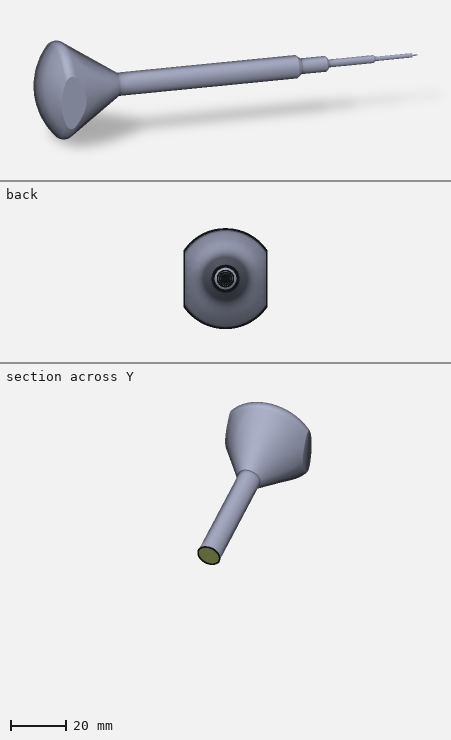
import cadquery as cq
import math


KNOB_RADIUS = 18.0
KNOB_WIDTH = 30.0
DOME_RADIUS = 25.0
RIM_RADIUS = 3.0
NECK_RADIUS = 4.8

NECK_Y = 30.0
HANDLE_END_Y = 100.0
COLLAR_END_Y = 110.0
SHANK_END_Y = 128.0
BIT_END_Y = 142.0
TOTAL_LENGTH = 144.0

HANDLE_DIAMETER = 8.5
HANDLE_TAPER = 1.7
COLLAR_RADIUS = 2.9
COLLAR_CHAMFER = 0.7
SHANK_RADIUS = 1.5
SHANK_CHAMFER = 0.6
BIT_RADIUS = 0.79
TIP_RADIUS = 0.3




def revolve_about_y(outline):
    """Full revolution of a closed (radius, Y) outline about the Y axis."""
    return outline.close().revolve(360, (0, 0, 0), (0, 1, 0))


def polar_point(center, radius, angle):
    """Point on a circle; the angle is measured from the radial direction towards +Y."""
    return (center[0] + radius * math.cos(angle), center[1] + radius * math.sin(angle))


def make_knob():
    """Revolved dome, rounded rim and cone, cut by two flats across X."""
    rim_offset = KNOB_RADIUS - RIM_RADIUS
    rim_drop = math.sqrt((DOME_RADIUS - RIM_RADIUS) ** 2 - rim_offset**2)
    rim_center = (rim_offset, DOME_RADIUS - rim_drop)
    dome_angle = -math.atan2(rim_drop, rim_offset)

    neck_dx = rim_center[0] - NECK_RADIUS
    neck_dy = NECK_Y - rim_center[1]
    neck_distance = math.hypot(neck_dx, neck_dy)
    cone_angle = math.atan2(neck_dy, -neck_dx) - math.acos(RIM_RADIUS / neck_distance)

    dome_edge = polar_point(rim_center, RIM_RADIUS, dome_angle)
    cone_edge = polar_point(rim_center, RIM_RADIUS, cone_angle)
    rim_middle = polar_point(rim_center, RIM_RADIUS, (dome_angle + cone_angle) / 2)
    dome_middle_angle = (dome_angle - math.pi / 2) / 2
    dome_middle = polar_point((0, DOME_RADIUS), DOME_RADIUS, dome_middle_angle)

    outline = (
        cq.Workplane("ZY")
        .moveTo(0, 0)
        .threePointArc(dome_middle, dome_edge)
        .threePointArc(rim_middle, cone_edge)
        .lineTo(NECK_RADIUS, NECK_Y)
        .lineTo(0, NECK_Y)
    )
    body = revolve_about_y(outline)
    slab_size = 4 * KNOB_RADIUS
    return body.intersect(cq.Workplane("XY").box(KNOB_WIDTH, slab_size, slab_size))


def make_stem():
    """Stepped round stem: handle, collar, shank, bit and tip."""
    handle_radius = HANDLE_DIAMETER / 2
    corners = [
        (0, NECK_Y),
        (handle_radius, NECK_Y),
        (handle_radius, HANDLE_END_Y - HANDLE_TAPER),
        (COLLAR_RADIUS, HANDLE_END_Y),
        (COLLAR_RADIUS, COLLAR_END_Y - COLLAR_CHAMFER),
        (COLLAR_RADIUS - COLLAR_CHAMFER, COLLAR_END_Y),
        (SHANK_RADIUS, COLLAR_END_Y),
        (SHANK_RADIUS, SHANK_END_Y - SHANK_CHAMFER),
        (SHANK_RADIUS - SHANK_CHAMFER, SHANK_END_Y),
        (BIT_RADIUS, SHANK_END_Y),
        (BIT_RADIUS, BIT_END_Y),
        (TIP_RADIUS, BIT_END_Y),
        (TIP_RADIUS, TOTAL_LENGTH),
        (0, TOTAL_LENGTH),
    ]
    return revolve_about_y(cq.Workplane("ZY").polyline(corners))


result = make_knob().union(make_stem())